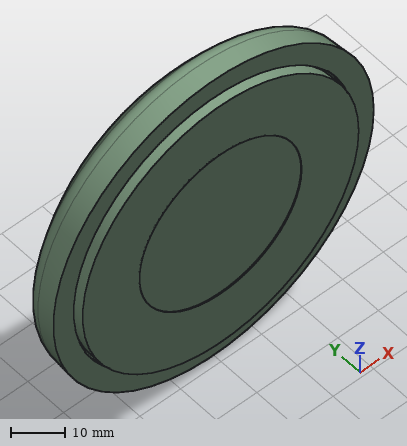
import cadquery as cq

rim_radius = 39.5
total_height = 20.0

base_radius = 68.0 / 2
base_height = 2.0
recess_radius = 40.0 / 2
recess_depth = 0.2

groove_radius = 69.0 / 2
groove_depth = 1.0

wall_top_radius = 39.1
wall_top = 6.8
shoulder_mid = (38.8, 8.3)
dome_edge_radius = 37.7
dome_edge = 9.6

dome_mid = (25.05, 16.7)
crown_radius = 9.5


def cover_body():
    """Revolve the half outline (radius, height) about the Y axis."""
    return (
        cq.Workplane("XY")
        .moveTo(0, recess_depth)
        .lineTo(recess_radius, recess_depth)
        .lineTo(recess_radius, 0)
        .lineTo(base_radius, 0)
        .lineTo(base_radius, base_height + groove_depth)
        .lineTo(groove_radius, base_height + groove_depth)
        .lineTo(groove_radius, base_height)
        .lineTo(rim_radius, base_height)
        .lineTo(wall_top_radius, wall_top)
        .threePointArc(shoulder_mid, (dome_edge_radius, dome_edge))
        .threePointArc(dome_mid, (crown_radius, total_height))
        .lineTo(0, total_height)
        .close()
        .revolve(360, (0, 0), (0, 1))
    )


result = cover_body()